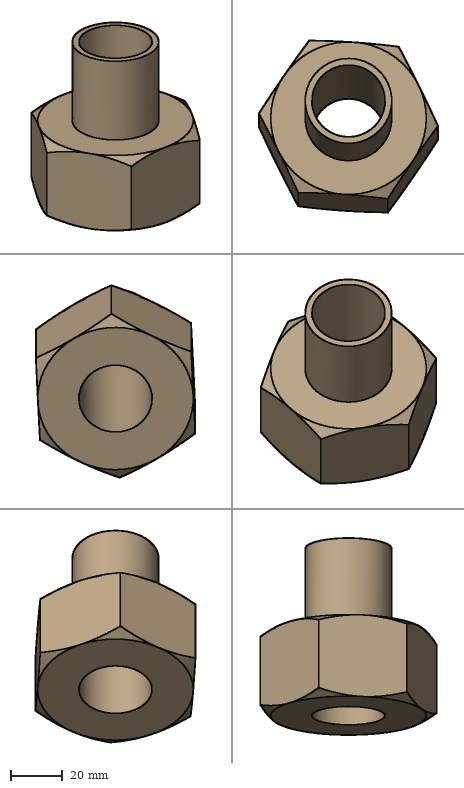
import cadquery as cq
import math

hexagon_sides = 6
across_flats = 60.0
nut_height = 32.5
tube_length = 34.0
tube_diameter = 33.4
bore_diameter = 28.2
chamfer_angle = 30.0

flat_radius = across_flats / 2
across_corners = across_flats / math.cos(math.pi / hexagon_sides)
corner_radius = across_corners / 2
chamfer_height = (corner_radius - flat_radius) * math.tan(math.radians(chamfer_angle))
total_height = nut_height + tube_length


def make_chamfer_envelope():
    """Round body with conical ends that trims the hexagon corners."""
    half_profile = [
        (0, 0),
        (flat_radius, 0),
        (corner_radius, chamfer_height),
        (corner_radius, nut_height - chamfer_height),
        (flat_radius, nut_height),
        (0, nut_height),
    ]
    return cq.Workplane("XZ").polyline(half_profile).close().revolve(360, (0, 0), (0, 1))


def make_nut():
    """Hexagon with flats facing +X and -X, chamfered at both ends."""
    hexagon = (
        cq.Workplane("XY")
        .transformed(rotate=(0, 0, 90))
        .polygon(hexagon_sides, across_corners)
        .extrude(nut_height)
    )
    return hexagon.intersect(make_chamfer_envelope())


def make_tube():
    """Outer cylinder of the tube, standing on the nut's upper face."""
    return cq.Workplane("XY").workplane(offset=nut_height).circle(tube_diameter / 2).extrude(tube_length)


def make_bore():
    """Bore running through the nut and the tube."""
    return cq.Workplane("XY").circle(bore_diameter / 2).extrude(total_height)


result = make_nut().union(make_tube()).cut(make_bore())